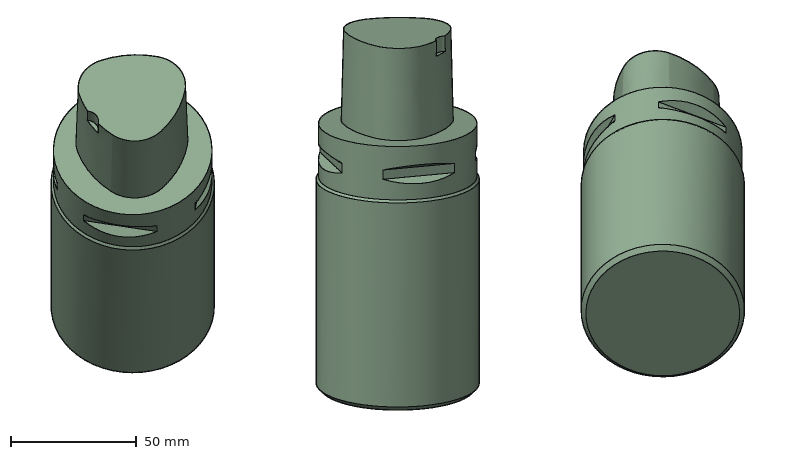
import cadquery as cq
import math

total_height = 148.0
body_diameter = 65.0
collar_diameter = 63.0
bottom_chamfer = 1.9

shank_length = 38.0
collar_height = 22.2
collar_base = total_height - shank_length - collar_height
collar_top = total_height - shank_length
step_chamfer = (body_diameter - collar_diameter) / 2

tip_reach = 22.5
flank_reach = 19.4
tip_radius = 14.0
shank_growth = 0.95
lobe_count = 3
sector = 360 / lobe_count
first_lobe_angle = 90

groove_count = 4
groove_start_angle = 45
groove_depth = 3.7
groove_floor_height = 3.8
groove_mouth_height = 7.8
groove_center_z = 98.1

notch_radius = 5.0
notch_height = 6.4
notch_depth = 1.8


def polar(radius, angle):
    """Point at the given distance and angle in degrees from the axis."""
    return radius * math.cos(math.radians(angle)), radius * math.sin(math.radians(angle))


def shank_section(growth, z):
    """Lobed outline of tangent tip and flank arcs, offset outward by growth."""
    tip_center = tip_reach - tip_radius
    radius_gap = tip_radius - flank_reach
    center_distance = (tip_center**2 + radius_gap**2 + tip_center * radius_gap) / (
        -2 * radius_gap - tip_center
    )
    flank_center = center_distance + radius_gap
    half_sector = sector / 2
    flank_x, flank_y = polar(-flank_center, -half_sector)
    slope = math.degrees(math.atan2(-flank_y, tip_center - flank_x))
    join_dx, join_dy = polar(tip_radius + growth, slope)
    join_x = tip_center + join_dx
    join_radius = math.hypot(join_x, join_dy)
    join_angle = abs(math.degrees(math.atan2(join_dy, join_x)))

    outline = cq.Workplane("XY", origin=(0, 0, z)).moveTo(
        *polar(join_radius, first_lobe_angle - join_angle)
    )
    for lobe in range(lobe_count):
        lobe_angle = first_lobe_angle + lobe * sector
        outline = outline.threePointArc(
            polar(tip_reach + growth, lobe_angle),
            polar(join_radius, lobe_angle + join_angle),
        ).threePointArc(
            polar(flank_reach + growth, lobe_angle + half_sector),
            polar(join_radius, lobe_angle + sector - join_angle),
        )
    return outline.close().val()


def make_body():
    """Round body with chamfered bottom and the slightly smaller collar on top."""
    body_radius = body_diameter / 2
    collar_radius = collar_diameter / 2
    profile = [
        (0, 0),
        (body_radius - bottom_chamfer, 0),
        (body_radius, bottom_chamfer),
        (body_radius, collar_base - step_chamfer),
        (collar_radius, collar_base),
        (collar_radius, collar_top),
        (0, collar_top),
    ]
    return cq.Workplane("XZ").polyline(profile).close().revolve(360, (0, 0, 0), (0, 1, 0))


def make_shank():
    """Tapered lobed shank standing on the collar."""
    wires = [shank_section(shank_growth, collar_top), shank_section(0, total_height)]
    return cq.Workplane(cq.Solid.makeLoft(wires, True))


def make_groove(angle):
    """Straight cutter with a flat floor and flared sides."""
    collar_radius = collar_diameter / 2
    floor = collar_radius - groove_depth
    half_floor = groove_floor_height / 2
    half_mouth = groove_mouth_height / 2
    return (
        cq.Workplane("XZ", origin=(0, 0, groove_center_z))
        .polyline([
            (floor, -half_floor),
            (collar_radius, -half_mouth),
            (collar_radius, half_mouth),
            (floor, half_floor),
        ])
        .close()
        .extrude(collar_radius, both=True)
        .rotate((0, 0, 0), (0, 0, 1), angle)
    )


def make_notch():
    """Upright round cutter for the notch in the -Y flank."""
    return (
        cq.Workplane("XY", origin=(0, 0, total_height - notch_height))
        .center(0, -flank_reach + notch_depth - notch_radius)
        .circle(notch_radius)
        .extrude(notch_height)
    )


result = make_body().union(make_shank())
for groove in range(groove_count):
    result = result.cut(make_groove(groove_start_angle + groove * 360 / groove_count))
result = result.cut(make_notch())